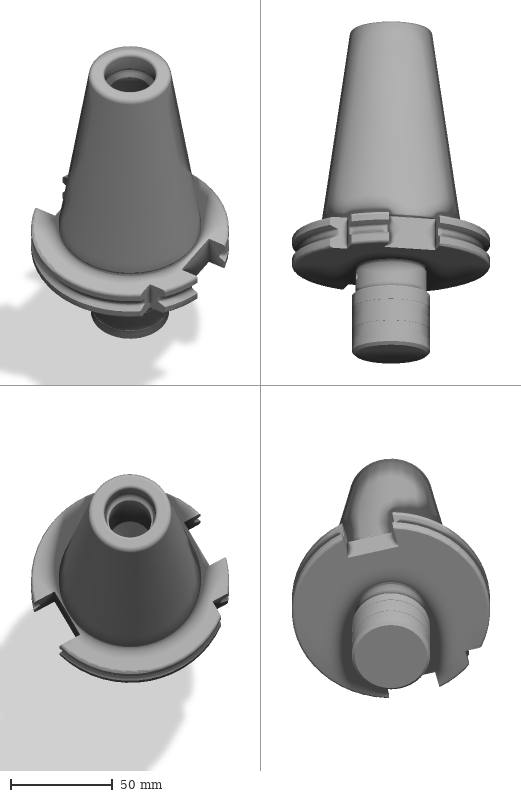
import cadquery as cq
import math

total_length = 164.8
taper_base_radius = 35.1
taper_length = 103.0
taper_slope = 7 / 48
taper_tip_fillet = 2.3

relief_depth = 0.5
relief_slope_height = 0.7

flange_radius = 48.8
flange_bottom = 44.0
flange_height = 15.8
flange_fillet = 1.5
vee_center = 52.0
vee_floor_radius = 45.5
vee_floor_width = 3.3
vee_half_angle = 30.0
vee_floor_fillet = 0.7

key_slot_width = 25.7
left_slot_floor = 35.5
right_slot_floor = 37.7
notch_offset = 29.8

neck_radius = 17.5
neck_relief_height = 2.0
nose_radius = 19.3
nose_length = 30.1
nose_top_chamfer = 0.7
nose_bottom_chamfer = 1.5
band_radius = 19.1
band_height = 5.5
band_bottoms = (6.8, 17.6)

cross_hole_z = 38.9
countersink_radius = 2.0
cross_hole_radius = 1.5
cross_hole_depth = 2.5
cross_hole_inner_radius = 0.8
cross_hole_inner_depth = 5.0

counterbore_radius = 12.7
counterbore_depth = 9.2
counterbore_fillet = 1.5
bore_relief_height = 2.0
bore_seat_drop = 1.8
bore_radius = 10.5
bore_depth = 46.1
drill_half_angle = 59.0

flange_top = flange_bottom + flange_height
taper_bottom = total_length - taper_length


def revolve_profile(points):
    """Solid of revolution about Z from (radius, height) points."""
    return cq.Workplane("XZ").polyline(points).close().revolve(360, (0, 0, 0), (0, 1, 0))


def disc(radius, bottom, height):
    """Solid cylinder on the Z axis."""
    return cq.Workplane("XY").workplane(offset=bottom).circle(radius).extrude(height)


def relief_points(edge_radius, floor_radius, start_z, end_z):
    """Outline of a relief groove from start_z to end_z."""
    slope = math.copysign(relief_slope_height, end_z - start_z)
    return [
        (edge_radius, start_z),
        (floor_radius, start_z + slope),
        (floor_radius, end_z - slope),
        (edge_radius, end_z),
    ]


def taper():
    tip_radius = taper_base_radius - taper_length * taper_slope
    relief = relief_points(
        taper_base_radius, taper_base_radius - relief_depth, flange_top, taper_bottom
    )
    cone = revolve_profile(
        [(0, flange_top)] + relief + [(tip_radius, total_length), (0, total_length)]
    )
    return cone.faces(">Z").edges().fillet(taper_tip_fillet)


def vee_groove():
    """Ring-shaped cutter with rounded floor corners."""
    half_floor = vee_floor_width / 2
    groove_depth = flange_radius - vee_floor_radius
    half_mouth = half_floor + groove_depth * math.tan(math.radians(vee_half_angle))
    ring = revolve_profile([
        (vee_floor_radius, vee_center - half_floor),
        (flange_radius, vee_center - half_mouth),
        (flange_radius, vee_center + half_mouth),
        (vee_floor_radius, vee_center + half_floor),
    ])
    floor_edges = cq.selectors.RadiusNthSelector(0)
    return ring.edges(floor_edges).fillet(vee_floor_fillet)


def flange_cutter(x_min, x_max, y_min, y_max):
    """Box through the full flange height."""
    box = cq.Workplane("XY").box(x_max - x_min, y_max - y_min, flange_height, centered=False)
    return box.translate((x_min, y_min, flange_bottom))


def flange():
    half_width = key_slot_width / 2
    body = disc(flange_radius, flange_bottom, flange_height).edges().fillet(flange_fillet)
    left_slot = flange_cutter(-flange_radius, -left_slot_floor, -half_width, half_width)
    right_slot = flange_cutter(right_slot_floor, flange_radius, -half_width, half_width)
    notch = flange_cutter(notch_offset, flange_radius, -flange_radius, -notch_offset)
    return body.cut(vee_groove()).cut(left_slot).cut(right_slot).cut(notch)


def neck():
    relief = relief_points(
        neck_radius, neck_radius - relief_depth, flange_bottom - neck_relief_height, flange_bottom
    )
    return revolve_profile(
        [(0, nose_length), (neck_radius, nose_length)] + relief + [(0, flange_bottom)]
    )


def nose():
    body = disc(nose_radius, 0, nose_length)
    body = body.faces(">Z").chamfer(nose_top_chamfer)
    body = body.faces("<Z").chamfer(nose_bottom_chamfer)
    for bottom in band_bottoms:
        ring = disc(nose_radius, bottom, band_height).cut(disc(band_radius, bottom, band_height))
        body = body.cut(ring)
    return body


def cross_hole():
    """Stepped blind hole entering the neck from its -Y side."""
    countersink_depth = countersink_radius - cross_hole_radius
    profile = [
        (0, 0),
        (countersink_radius, 0),
        (cross_hole_radius, countersink_depth),
        (cross_hole_radius, cross_hole_depth),
        (cross_hole_inner_radius, cross_hole_depth),
        (cross_hole_inner_radius, cross_hole_inner_depth),
        (0, cross_hole_inner_depth),
    ]
    hole = cq.Workplane("XY").polyline(profile).close().revolve(360, (0, 0, 0), (0, 1, 0))
    return hole.translate((0, -neck_radius, cross_hole_z))


def bore():
    relief_top = total_length - counterbore_depth
    seat_z = relief_top - bore_relief_height
    bore_bottom = total_length - bore_depth
    drill_tip = bore_bottom - bore_radius / math.tan(math.radians(drill_half_angle))
    relief = relief_points(
        counterbore_radius, counterbore_radius + relief_depth, relief_top, seat_z
    )
    return revolve_profile(
        [(0, total_length), (counterbore_radius, total_length)]
        + relief
        + [(bore_radius, seat_z - bore_seat_drop), (bore_radius, bore_bottom), (0, drill_tip)]
    )


shank = taper().cut(bore())
bore_mouth = shank.faces(">Z").edges(cq.selectors.RadiusNthSelector(0))
shank = bore_mouth.fillet(counterbore_fillet)

result = flange().union(shank).union(neck()).union(nose()).cut(cross_hole())